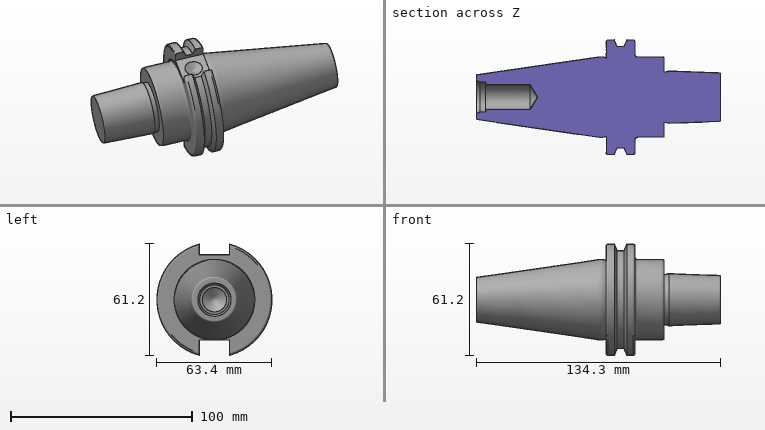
import cadquery as cq
import math

overall_length = 134.3

taper_end = 67.8
taper_diameter = 44.5
taper_rate = 7 / 24
taper_tip_rounding = 0.8
relief_diameter = 43.6
relief_start = 69.5
relief_cone_end = 70.9

flange_start = 71.3
flange_end = 87.3
flange_diameter = 63.4
flange_rounding = 1.2
flange_center = (flange_start + flange_end) / 2
groove_mouth_width = 6.8
groove_floor_width = 3.8
groove_floor_diameter = 56.4

collar_diameter = 44.3
collar_end = 103.3
collar_fillet = 1.3
collar_chamfer_length = 1.2
collar_chamfer_height = 0.3
neck_diameter = 27.9
neck_end = 104.3
nose_start = 105.8
nose_root_diameter = 28.9
nose_tip_diameter = 26.9
nose_chamfer_length = 0.8
nose_chamfer_height = 0.3

slot_width = 16.5
upper_slot_floor = 24.8
lower_slot_floor = 22.3
dimple_diameter = 9.5

bore_mouth_diameter = 18.3
bore_diameter = 16.2
bore_mouth_depth = 2.0
bore_depth = 5.1
pilot_diameter = 13.4
pilot_depth = 29.5
drill_half_angle = math.radians(59)


def drill_tip_length(diameter):
    return diameter / 2 / math.tan(drill_half_angle)


def make_body():
    tip_radius = (taper_diameter - (taper_end - taper_tip_rounding) * taper_rate) / 2
    flange_radius = flange_diameter / 2
    rim_radius = flange_radius - flange_rounding
    groove_radius = groove_floor_diameter / 2
    half_mouth = groove_mouth_width / 2
    half_floor = groove_floor_width / 2
    collar_radius = collar_diameter / 2
    nose_tip_radius = nose_tip_diameter / 2
    profile = (
        cq.Workplane("XY")
        .lineTo(0, tip_radius - taper_tip_rounding)
        .radiusArc((taper_tip_rounding, tip_radius), taper_tip_rounding)
        .lineTo(taper_end, taper_diameter / 2)
        .lineTo(relief_start, taper_diameter / 2)
        .lineTo(relief_cone_end, relief_diameter / 2)
        .lineTo(flange_start, relief_diameter / 2)
        .lineTo(flange_start, rim_radius)
        .radiusArc((flange_start + flange_rounding, flange_radius), flange_rounding)
        .lineTo(flange_center - half_mouth, flange_radius)
        .lineTo(flange_center - half_floor, groove_radius)
        .lineTo(flange_center + half_floor, groove_radius)
        .lineTo(flange_center + half_mouth, flange_radius)
        .lineTo(flange_end - flange_rounding, flange_radius)
        .radiusArc((flange_end, rim_radius), flange_rounding)
        .lineTo(flange_end, collar_radius + collar_fillet)
        .radiusArc((flange_end + collar_fillet, collar_radius), -collar_fillet)
        .lineTo(collar_end - collar_chamfer_length, collar_radius)
        .lineTo(collar_end, collar_radius - collar_chamfer_height)
        .lineTo(collar_end, neck_diameter / 2)
        .lineTo(neck_end, neck_diameter / 2)
        .lineTo(nose_start, nose_root_diameter / 2)
        .lineTo(overall_length - nose_chamfer_length, nose_tip_radius)
        .lineTo(overall_length, nose_tip_radius - nose_chamfer_height)
        .lineTo(overall_length, 0)
        .close()
    )
    return profile.revolve(360, (0, 0, 0), (1, 0, 0))


def make_bore():
    pilot_radius = pilot_diameter / 2
    profile = (
        cq.Workplane("XY")
        .lineTo(0, bore_mouth_diameter / 2)
        .lineTo(bore_mouth_depth, bore_diameter / 2)
        .lineTo(bore_depth, bore_diameter / 2)
        .lineTo(bore_depth, pilot_radius)
        .lineTo(pilot_depth, pilot_radius)
        .lineTo(pilot_depth + drill_tip_length(pilot_diameter), 0)
        .close()
    )
    return profile.revolve(360, (0, 0, 0), (1, 0, 0))


def make_slot(floor, direction):
    slot_height = flange_diameter / 2 - floor
    slot_end = flange_end + collar_fillet
    return (
        cq.Workplane("XY")
        .box(slot_end - flange_start, slot_width, slot_height)
        .translate(((flange_start + slot_end) / 2, 0, direction * (floor + slot_height / 2)))
    )


def make_dimple():
    cone = cq.Solid.makeCone(
        dimple_diameter / 2,
        0,
        drill_tip_length(dimple_diameter),
        cq.Vector(flange_center, 0, upper_slot_floor),
        cq.Vector(0, 0, -1),
    )
    return cq.Workplane(cone)


result = (
    make_body()
    .cut(make_bore())
    .cut(make_slot(upper_slot_floor, 1))
    .cut(make_slot(lower_slot_floor, -1))
    .cut(make_dimple())
)